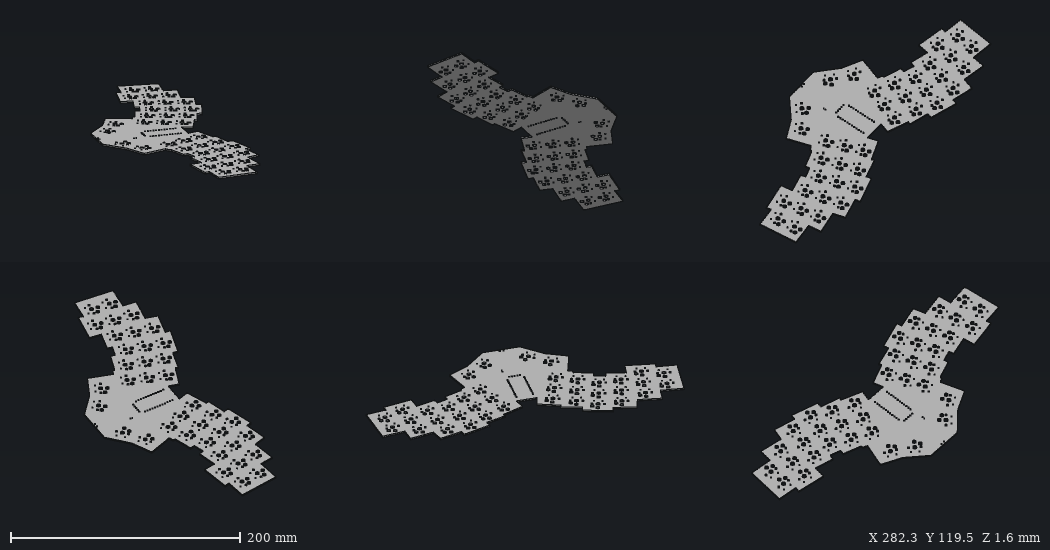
import cadquery as cq
import math

length = 282.3
width = 119.5
thickness = 1.6

notch_half_width = 9.3
notch_floor_y = 21.5
bottom_half_width = 17.0
left_outline = [
    (-notch_half_width, notch_floor_y),
    (-6.5, 31.0),
    (-26.0, 38.7),
    (-24.8, 41.2),
    (-43.2, 46.5),
    (-42.0, 51.5),
    (-67.8, 59.3),
    (-68.5, 54.5),
    (-89.2, width / 2),
    (-92.5, 48.5),
    (-114.3, 52.5),
    (-116.0, 40.0),
    (-137.0, 42.5),
    (-length / 2, 5.6),
    (-122.5, 3.5),
    (-123.7, -1.0),
    (-96.8, -6.0),
    (-95.0, 5.0),
    (-77.5, 0.5),
    (-76.2, 5.0),
    (-66.5, 2.0),
    (-67.5, -2.3),
    (-51.0, -8.0),
    (-50.5, -10.2),
    (-47.7, -11.3),
    (-47.0, -11.9),
    (-54.2, -34.0),
    (-35.3, -43.2),
    (-bottom_half_width, -width / 2),
]

key_columns = [
    (-124.5, 31.0, -7, 2),
    (-102.5, 39.8, -10, 3),
    (-79.0, 46.5, -15, 3),
    (-58.0, 45.5, -18, 3),
    (-41.2, 35.3, -18, 3),
    (-22.3, 26.3, -21, 3),
    (-37.5, -30.5, -29, 1),
    (-20.0, -43.2, -42, 1),
]
key_pitch = 17.0

header_pitch = 2.5
header_pin_diameter = 1.0
side_header_pins = 12
side_header_spacing = 6 * header_pitch
side_header_top_y = 15.2
end_header_pins = 5
end_header_y = -17.0

center_post_diameter = 3.5
contact_diameter = 3.0
contact_offsets = [(0, 6.0), (5.0, 3.7)]
side_post_diameter = 1.7
side_post_spacing = 11.0
diode_diameter = 0.9
diode_spacing = 3 * header_pitch
diode_y = -4.8

battery_pin_diameter = 0.75
battery_pin_pitch = 2.0
battery_x = 8.5
battery_y = -27.0
edge_hole_diameter = 1.0
edge_hole_spacing = 3.5
edge_hole_y = -58.0


def mirrored(points):
    return [(-x, y) for x, y in points]


def pair(spacing, y):
    return [(-spacing / 2, y), (spacing / 2, y)]


def row(count, pitch):
    """Offsets of evenly spaced holes about zero."""
    return [(i - (count - 1) / 2) * pitch for i in range(count)]


def left_switches():
    """Centre and tilt of every switch on the left half."""
    switches = []
    for x, y, tilt, count in key_columns:
        angle = math.radians(tilt)
        for i in range(count):
            down = i * key_pitch
            switches.append((x + down * math.sin(angle), y - down * math.cos(angle), tilt))
    return switches


def placed(offsets, switches):
    """The given offsets turned and moved to each switch; switches are never flipped over."""
    points = []
    for x, y, tilt in switches:
        cosine = math.cos(math.radians(tilt))
        sine = math.sin(math.radians(tilt))
        points += [(x + cosine * u - sine * v, y + sine * u + cosine * v) for u, v in offsets]
    return points


def drill(board, points, diameter):
    holes = cq.Workplane("XY").pushPoints(points).circle(diameter / 2).extrude(thickness)
    return board.cut(holes)


outline = left_outline + mirrored(reversed(left_outline))
board = cq.Workplane("XY").polyline(outline).close().extrude(thickness)

switches = left_switches()
switches += [(-x, y, -tilt) for x, y, tilt in switches]
board = drill(board, placed([(0, 0)], switches), center_post_diameter)
board = drill(board, placed(contact_offsets, switches), contact_diameter)
board = drill(board, placed(pair(side_post_spacing, 0), switches), side_post_diameter)
board = drill(board, placed(pair(diode_spacing, diode_y), switches), diode_diameter)

header_pins = []
for i in range(side_header_pins):
    header_pins += pair(side_header_spacing, side_header_top_y - i * header_pitch)
header_pins += [(x, end_header_y) for x in row(end_header_pins, header_pitch)]
board = drill(board, header_pins, header_pin_diameter)

battery_pins = [(battery_x, battery_y + y) for y in row(2, battery_pin_pitch)]
board = drill(board, battery_pins, battery_pin_diameter)
result = drill(board, pair(edge_hole_spacing, edge_hole_y), edge_hole_diameter)